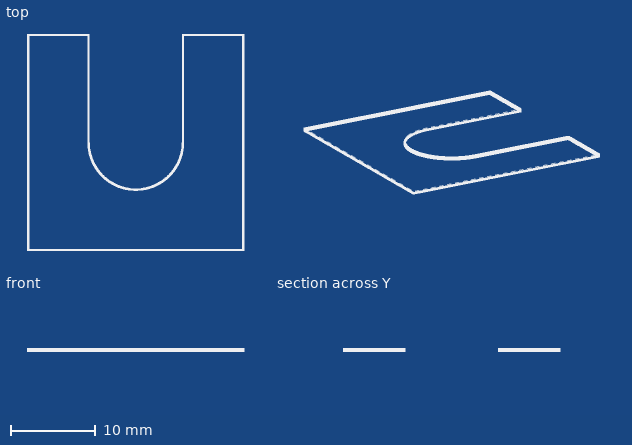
import cadquery as cq

plate_side = 25.4
plate_thickness = 0.25
slot_width = 11.1125

slot_radius = slot_width / 2
half_side = plate_side / 2


def make_plate():
    """Square shim plate centred on the origin."""
    return cq.Workplane("XY").box(plate_side, plate_side, plate_thickness)


def make_slot():
    """U-shaped cutter, open toward +Y, with a semicircular closed end."""
    return (
        cq.Workplane("XY")
        .workplane(offset=-plate_thickness / 2)
        .moveTo(-slot_radius, half_side)
        .lineTo(-slot_radius, 0)
        .threePointArc((0, -slot_radius), (slot_radius, 0))
        .lineTo(slot_radius, half_side)
        .close()
        .extrude(plate_thickness)
    )


result = make_plate().cut(make_slot())